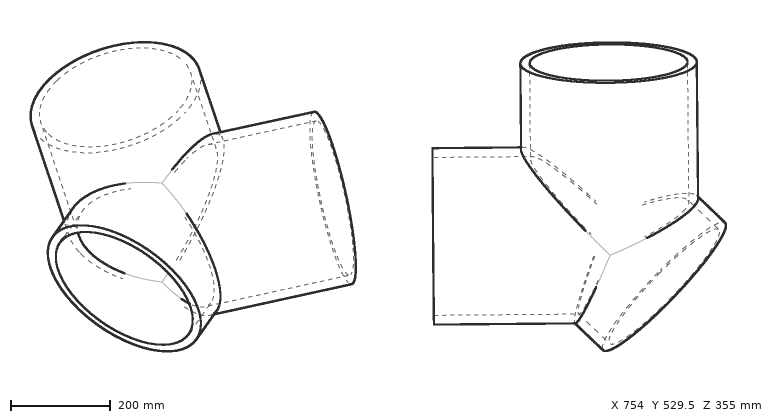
import cadquery as cq
import math

overall_width = 754.0
overall_depth = 529.5
outer_diameter = 355.0
bore_diameter = 317.5
branch_angle = 45.0

lean = math.radians(branch_angle)
outer_radius = outer_diameter / 2
branch_length = (overall_width / 2 - outer_radius * math.cos(lean)) / math.sin(lean)
branch_reach = branch_length * math.cos(lean) + outer_radius * math.sin(lean)
inlet_length = overall_depth - branch_reach


def leg(diameter, length, direction):
    """Solid cylinder from the axis junction along the given direction."""
    return cq.Workplane(
        cq.Solid.makeCylinder(diameter / 2, length, cq.Vector(0, 0, 0), direction)
    )


def three_legs(diameter):
    """Inlet and both branches joined as solid cylinders of one diameter."""
    body = leg(diameter, inlet_length, cq.Vector(0, -1, 0))
    for side in (-1, 1):
        direction = cq.Vector(side * math.sin(lean), math.cos(lean), 0)
        body = body.union(leg(diameter, branch_length, direction))
    return body


result = three_legs(outer_diameter).cut(three_legs(bore_diameter))